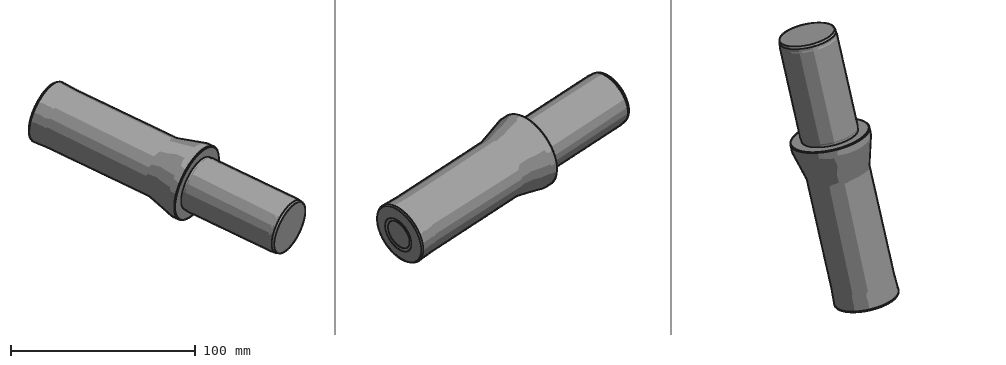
import cadquery as cq
import math

LENGTH = 159.0

FACE_RISE = 0.6
FACE_RADIUS = 17.3
LIP_RADIUS = 18.0
LIP_START = 1.6
LIP_END = 8.0
LIP_END_RADIUS = 17.6
BARREL_START = 11.3
BARREL_RADIUS = 35.0 / 2

DISH_RADIUS = 10.3
DISH_EDGE_WIDTH = 0.6
DISH_EDGE_DEPTH = 0.2
DISH_FLOOR_RADIUS = 7.5
DISH_FLOOR_EDGE_WIDTH = 0.5
DISH_FLOOR_EDGE_DEPTH = 0.1
DISH_DEPTH = 0.6

PLUG_RADIUS = 8.5
PLUG_BOTTOM = 8.0

COLLAR_RADIUS = 44.0 / 2
COLLAR_END = 98.7
COLLAR_CHAMFER = 0.5
FLARE_START = 76.2
FLARE_ANGLE = math.radians(14.6)
FLARE_ROOT_BLEND = 5.5
FLARE_RIM_BLEND = 4.0

SHANK_RADIUS = 32.0 / 2
RELIEF_RADIUS = 31.5 / 2
NECK_END = 99.9
SHANK_START = 100.6
SHANK_END = 155.2
TIP_START = 156.0
TIP_CHAMFER_START = 157.5
TIP_CHAMFER_DEPTH = 0.5

DISH_WALL_RADIUS = DISH_RADIUS - DISH_EDGE_WIDTH
DISH_WALL_END = DISH_DEPTH - DISH_FLOOR_EDGE_DEPTH
DISH_WALL_SLOPE = (DISH_WALL_END - DISH_EDGE_DEPTH) / (DISH_WALL_RADIUS - DISH_FLOOR_RADIUS)
PLUG_EDGE = DISH_EDGE_DEPTH + DISH_WALL_SLOPE * (DISH_WALL_RADIUS - PLUG_RADIUS)


def blend_points(blend_radius, angle):
    """Axial and radial offsets of an arc's middle and end, starting parallel to X."""
    middle = (blend_radius * math.sin(angle / 2), blend_radius * (1 - math.cos(angle / 2)))
    end = (blend_radius * math.sin(angle), blend_radius * (1 - math.cos(angle)))
    return middle, end


def revolve_about_x(profile):
    """Turn a closed (x, radius) profile once around the X axis."""
    return profile.close().revolve(360, (0, 0, 0), (1, 0, 0))


def make_housing():
    root_middle, root_end = blend_points(FLARE_ROOT_BLEND, FLARE_ANGLE)
    rim_middle, rim_end = blend_points(FLARE_RIM_BLEND, FLARE_ANGLE)
    flare_low_x = FLARE_START + root_end[0]
    flare_low_radius = BARREL_RADIUS + root_end[1]
    flare_high_radius = COLLAR_RADIUS - rim_end[1]
    flare_high_x = flare_low_x + (flare_high_radius - flare_low_radius) / math.tan(FLARE_ANGLE)
    rim_start = flare_high_x + rim_end[0]

    profile = (
        cq.Workplane("XY")
        .moveTo(PLUG_BOTTOM, 0)
        .lineTo(PLUG_BOTTOM, PLUG_RADIUS)
        .lineTo(PLUG_EDGE, PLUG_RADIUS)
        .lineTo(DISH_EDGE_DEPTH, DISH_WALL_RADIUS)
        .lineTo(0, DISH_RADIUS)
        .lineTo(FACE_RISE, FACE_RADIUS)
        .lineTo(LIP_START, LIP_RADIUS)
        .lineTo(LIP_END, LIP_END_RADIUS)
        .lineTo(BARREL_START, BARREL_RADIUS)
        .lineTo(FLARE_START, BARREL_RADIUS)
        .threePointArc((FLARE_START + root_middle[0], BARREL_RADIUS + root_middle[1]),
                       (flare_low_x, flare_low_radius))
        .lineTo(flare_high_x, flare_high_radius)
        .threePointArc((rim_start - rim_middle[0], COLLAR_RADIUS - rim_middle[1]),
                       (rim_start, COLLAR_RADIUS))
        .lineTo(COLLAR_END - COLLAR_CHAMFER, COLLAR_RADIUS)
        .lineTo(COLLAR_END, COLLAR_RADIUS - COLLAR_CHAMFER)
        .lineTo(COLLAR_END, RELIEF_RADIUS)
        .lineTo(NECK_END, RELIEF_RADIUS)
        .lineTo(SHANK_START, SHANK_RADIUS)
        .lineTo(SHANK_END, SHANK_RADIUS)
        .lineTo(TIP_START, RELIEF_RADIUS)
        .lineTo(TIP_CHAMFER_START, RELIEF_RADIUS)
        .lineTo(LENGTH, RELIEF_RADIUS - TIP_CHAMFER_DEPTH)
        .lineTo(LENGTH, 0)
    )
    return revolve_about_x(profile)


def make_plug():
    profile = (
        cq.Workplane("XY")
        .moveTo(DISH_DEPTH, 0)
        .lineTo(DISH_DEPTH, DISH_FLOOR_RADIUS - DISH_FLOOR_EDGE_WIDTH)
        .lineTo(DISH_WALL_END, DISH_FLOOR_RADIUS)
        .lineTo(PLUG_EDGE, PLUG_RADIUS)
        .lineTo(PLUG_BOTTOM, PLUG_RADIUS)
        .lineTo(PLUG_BOTTOM, 0)
    )
    return revolve_about_x(profile)


housing = make_housing()
plug = make_plug()
result = cq.Compound.makeCompound([housing.val(), plug.val()])